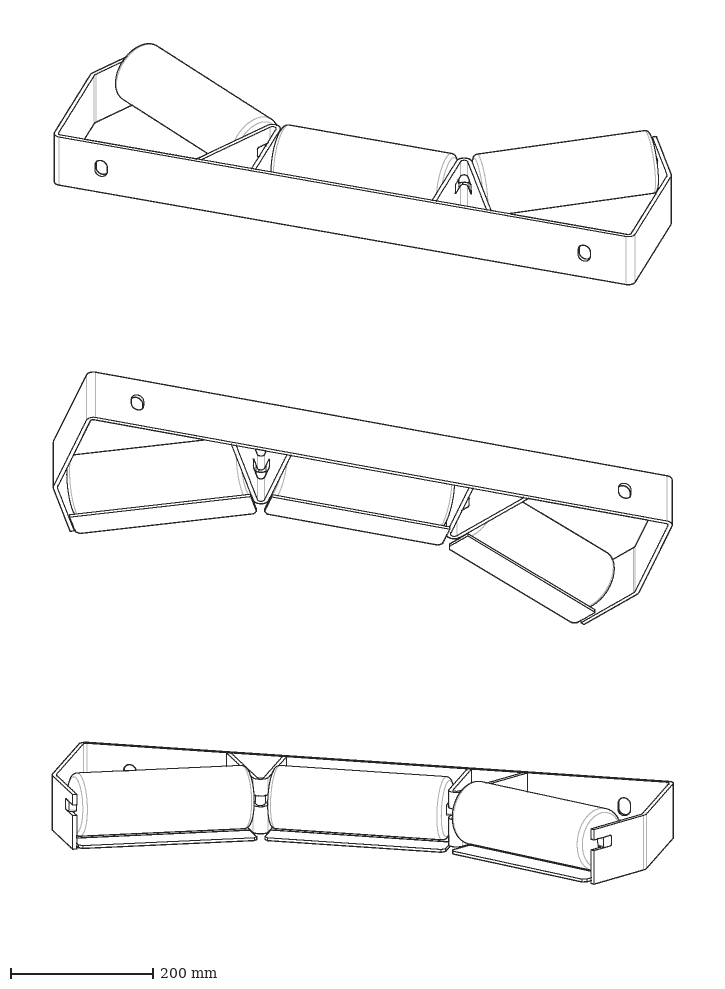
import cadquery as cq
import math

SHEET = 6.0
STRIP_HEIGHT = 80.0
FRAME_WIDTH = 860.0
FRAME_BEND_RADIUS = 10.0
WING_BEND_RADIUS = 15.5
BRACKET_BEND_RADIUS = 11.0
WING_REACH = 27.5

MOUNT_SPACING = 715.5
MOUNT_WIDTH = 18.0
MOUNT_HEIGHT = 26.0

ROLLER_DIAMETER = 89.5
ROLLER_LENGTH = 251.0
ROLLER_EDGE_RADIUS = 5.0
SEAT_SPAN = 261.5
SHAFT_DEPTH = 16.0
SHAFT_HEIGHT = 15.5
SHAFT_CORNER_RADIUS = 3.0

PLATE_WIDTH = 40.0
PLATE_THICKNESS = 4.0
PLATE_DROP = 51.0
PLATE_CORNER = 5.0

YAW = 30.0
PITCH = 2.0
MIDDLE_Y = 100.0
MIDDLE_Z = 8.0
SIDE_X = 273.0
SIDE_Y = 173.0
SIDE_Z = MIDDLE_Z + SEAT_SPAN / 2 * math.sin(math.radians(PITCH))

STATIONS = [
    ((-SIDE_X, SIDE_Y, SIDE_Z), -YAW, -PITCH),
    ((0, MIDDLE_Y, MIDDLE_Z), 0, 0),
    ((SIDE_X, SIDE_Y, SIDE_Z), YAW, PITCH),
]

COS_YAW = math.cos(math.radians(YAW))
SIN_YAW = math.sin(math.radians(YAW))
TAN_YAW = math.tan(math.radians(YAW))
SHAFT_LENGTH = SEAT_SPAN + 2 * SHEET
BEYOND = 172.0


def place(body, center, yaw, pitch):
    """Move a body built around the origin, roller axis along X, to its station."""
    pitched = body.rotate((0, 0, 0), (0, 1, 0), -pitch)
    return pitched.rotate((0, 0, 0), (0, 0, 1), yaw).translate(center)


def side_point(along, back):
    """Plan point of the right-hand station: outwards along its axis, then square to it."""
    return (
        SIDE_X + along * COS_YAW - back * SIN_YAW,
        SIDE_Y + along * SIN_YAW + back * COS_YAW,
    )


def make_roller():
    drum = cq.Workplane("YZ").workplane(offset=-ROLLER_LENGTH / 2)
    drum = drum.circle(ROLLER_DIAMETER / 2).extrude(ROLLER_LENGTH)
    drum = drum.edges().fillet(ROLLER_EDGE_RADIUS)
    shaft = cq.Workplane("XY").box(SHAFT_LENGTH, SHAFT_DEPTH, SHAFT_HEIGHT)
    shaft = shaft.edges("|X").fillet(SHAFT_CORNER_RADIUS)
    return drum.union(shaft)


def make_shaft_slot():
    """Cutter for the shaft seats of one roller, open towards the rear."""
    depth = SHAFT_DEPTH / 2 + BEYOND
    slot = cq.Workplane("XY").box(SHAFT_LENGTH + 2 * SHEET, depth, SHAFT_HEIGHT)
    slot = slot.translate((0, depth / 2 - SHAFT_DEPTH / 2, 0))
    return slot.edges("|X and <Y").fillet(SHAFT_CORNER_RADIUS)


def cut_shaft_slots(strip):
    for station in STATIONS:
        strip = strip.cut(place(make_shaft_slot(), *station))
    return strip


def extruded_outline(points):
    outline = cq.Workplane("XY").polyline(points).close()
    return outline.extrude(STRIP_HEIGHT / 2, both=True)


def make_frame():
    half_width = FRAME_WIDTH / 2
    wing_x, wing_y = side_point(SEAT_SPAN / 2 + SHEET, BEYOND)
    corner_y = wing_y - (half_width - wing_x) / TAN_YAW
    right = [(half_width, 0), (half_width, corner_y), (wing_x, wing_y)]
    left = [(-x, y) for x, y in reversed(right)]
    frame = extruded_outline(right + left)
    frame = frame.edges("|Z and <Y").fillet(FRAME_BEND_RADIUS)
    frame = frame.edges("|Z").edges("<X or >X").edges(">Y").fillet(WING_BEND_RADIUS)
    frame = frame.faces(">Y or >Z or <Z").shell(-SHEET)

    for center, yaw, pitch in STATIONS:
        if yaw:
            trim = cq.Workplane("XY").box(2 * SEAT_SPAN, 2 * BEYOND, 2 * STRIP_HEIGHT)
            trim = trim.translate((0, WING_REACH + BEYOND, 0))
            frame = frame.cut(place(trim, center, yaw, 0))

    mounts = (
        cq.Workplane("XZ")
        .pushPoints([(-MOUNT_SPACING / 2, 0), (MOUNT_SPACING / 2, 0)])
        .slot2D(MOUNT_HEIGHT, MOUNT_WIDTH, 90)
        .extrude(-2 * SHEET)
    )
    return cut_shaft_slots(frame.cut(mounts))


def make_right_bracket():
    """V-shaped bracket: upright leg for the middle roller, sloping leg for the side roller."""
    upright_x = SEAT_SPAN / 2
    leg_x, leg_y = side_point(-SEAT_SPAN / 2, 0)
    foot_x = leg_x + (leg_y - SHEET) * TAN_YAW
    apex_y = SHEET + (foot_x - upright_x) / TAN_YAW
    bracket = extruded_outline([(upright_x, SHEET), (foot_x, SHEET), (upright_x, apex_y)])
    bracket = bracket.edges("|Z").edges(">Y").fillet(BRACKET_BEND_RADIUS)
    bracket = bracket.faces("<Y or >Z or <Z").shell(-SHEET)
    return cut_shaft_slots(bracket)


def make_tie_plate(center, yaw, pitch):
    """Plate parallel to the roller axis, with ends flush against the upright strip faces."""
    half_span = SEAT_SPAN / 2
    rise = half_span * math.tan(math.radians(pitch))
    top = -PLATE_DROP + PLATE_THICKNESS / 2
    bottom = -PLATE_DROP - PLATE_THICKNESS / 2
    profile = [
        (-half_span, bottom - rise),
        (half_span, bottom + rise),
        (half_span, top + rise),
        (-half_span, top - rise),
    ]
    plate = cq.Workplane("XZ").polyline(profile).close().extrude(-PLATE_WIDTH)
    plate = plate.edges("|Z and >Y").chamfer(PLATE_CORNER)
    return place(plate, center, yaw, 0)


frame = make_frame()
right_bracket = make_right_bracket()
brackets = [right_bracket, right_bracket.mirror("YZ")]
rollers = [place(make_roller(), *station) for station in STATIONS]
tie_plates = [make_tie_plate(*station) for station in STATIONS]

bodies = [frame, *brackets, *rollers, *tie_plates]
result = cq.Compound.makeCompound([body.val() for body in bodies])